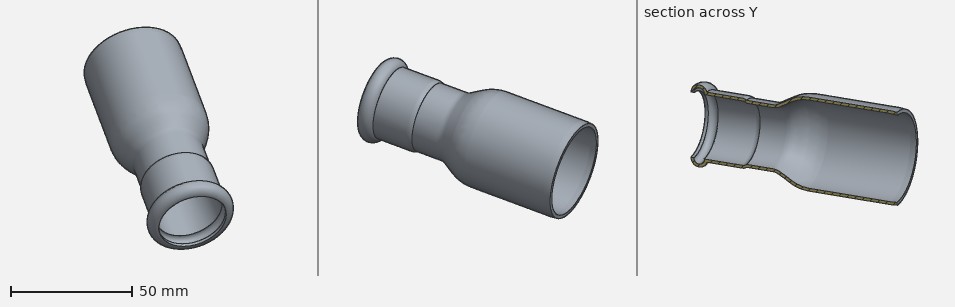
import cadquery as cq
import math

total_length = 93.0
wall = 1.5

pipe_outer_radius = 42.0 / 2
neck_outer_radius = 30.0 / 2
socket_outer_radius = 31.4 / 2

mouth_band_length = 2.85
mouth_taper = math.radians(5)
mouth_outer_bend = 3.0

cone_half_angle = math.radians(30)
pipe_end_length = 39.8
shoulder_outer_bend = 16.8
neck_outer_bend = 5.0

step_start = 67.8
step_length = 1.9

bead_tube_radius = 3.75
bead_outer_radius = 36.7 / 2
bead_opening_radius = 28.8 / 2
bead_centre_x = total_length - bead_tube_radius
bead_centre_radius = bead_outer_radius - bead_tube_radius


def skin_outline(inset):
    """Half outline that rises from the axis at the pipe mouth and runs along the pipe, cone,
    neck and step at a depth `inset` below the outer skin, up to the start of the socket."""
    pipe_radius = pipe_outer_radius - inset
    neck_radius = neck_outer_radius - inset
    socket_radius = socket_outer_radius - inset
    mouth_bend = mouth_outer_bend - inset
    shoulder_bend = shoulder_outer_bend - inset
    neck_bend = neck_outer_bend + inset

    def shoulder_point(angle):
        return (
            pipe_end_length + shoulder_bend * math.sin(angle),
            pipe_radius - shoulder_bend * (1 - math.cos(angle)),
        )

    def mouth_bend_point(angle):
        return (
            mouth_band_length - mouth_bend * math.sin(angle),
            pipe_radius - mouth_bend * (1 - math.cos(angle)),
        )

    mouth_cone_end = mouth_bend_point(mouth_taper)
    mouth_radius = mouth_cone_end[1] - mouth_cone_end[0] * math.tan(mouth_taper)

    shoulder_end = shoulder_point(cone_half_angle)
    cone_end_radius = neck_radius + neck_bend * (1 - math.cos(cone_half_angle))
    cone_length = (shoulder_end[1] - cone_end_radius) / math.tan(cone_half_angle)
    neck_start = shoulder_end[0] + cone_length + neck_bend * math.sin(cone_half_angle)

    def neck_bend_point(angle):
        return (
            neck_start - neck_bend * math.sin(angle),
            neck_radius + neck_bend * (1 - math.cos(angle)),
        )

    step_height = socket_radius - neck_radius
    step_bend = (step_length**2 + step_height**2) / (2 * step_height)
    step_angle = math.asin(step_length / step_bend)
    step_end = step_start + step_length
    step_middle = (
        step_end - step_bend * math.sin(step_angle / 2),
        socket_radius - step_bend * (1 - math.cos(step_angle / 2)),
    )

    return (
        cq.Workplane("XY")
        .moveTo(0, 0)
        .lineTo(0, mouth_radius)
        .lineTo(*mouth_cone_end)
        .threePointArc(mouth_bend_point(mouth_taper / 2), (mouth_band_length, pipe_radius))
        .lineTo(pipe_end_length, pipe_radius)
        .threePointArc(shoulder_point(cone_half_angle / 2), shoulder_end)
        .lineTo(*neck_bend_point(cone_half_angle))
        .threePointArc(neck_bend_point(cone_half_angle / 2), (neck_start, neck_radius))
        .lineTo(step_start, neck_radius)
        .threePointArc(step_middle, (step_end, socket_radius))
    )


def bead_start():
    """Point where the outside of the socket meets the bead circle."""
    rise = socket_outer_radius - bead_centre_radius
    return (bead_centre_x - math.sqrt(bead_tube_radius**2 - rise**2), socket_outer_radius)


def outer_solid():
    """Outside of the part, closed to the axis."""
    return (
        skin_outline(0)
        .lineTo(*bead_start())
        .threePointArc((bead_centre_x, bead_outer_radius), (total_length, bead_centre_radius))
        .lineTo(total_length, 0)
        .close()
        .revolve(360, (0, 0, 0), (1, 0, 0))
    )


def bore_solid():
    """Through bore one wall thickness below the outer skin, with the seal groove inside the bead."""
    groove_tube_radius = bead_tube_radius - wall
    groove_top = (bead_centre_x, bead_centre_radius + groove_tube_radius)
    groove_end = (bead_centre_x + groove_tube_radius, bead_centre_radius)
    return (
        skin_outline(wall)
        .lineTo(bead_centre_x - groove_tube_radius, socket_outer_radius - wall)
        .lineTo(bead_centre_x - groove_tube_radius, bead_centre_radius)
        .threePointArc(groove_top, groove_end)
        .lineTo(groove_end[0], bead_opening_radius)
        .lineTo(total_length, bead_opening_radius)
        .lineTo(total_length, 0)
        .close()
        .revolve(360, (0, 0, 0), (1, 0, 0))
    )


result = outer_solid().cut(bore_solid())